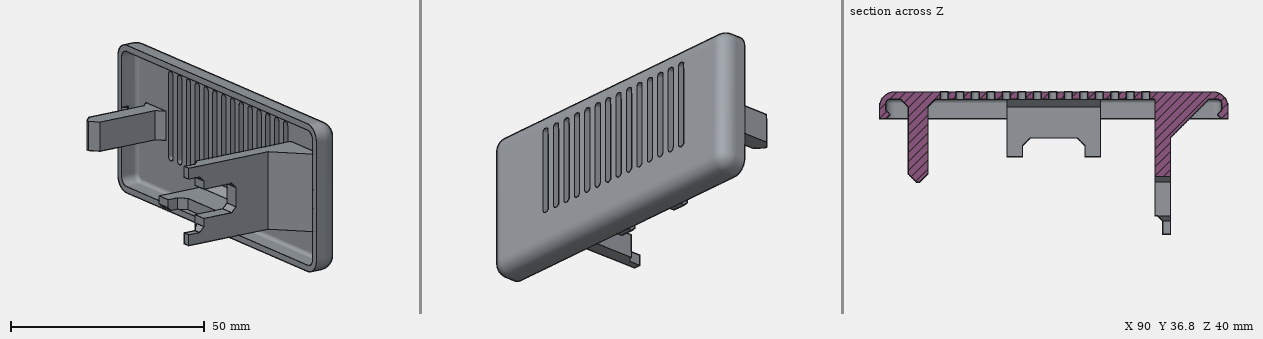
import cadquery as cq

LENGTH = 90.0
HEIGHT = 40.0
TOTAL_DEPTH = 36.8
SHELL_DEPTH = 7.0
OUTER_RADIUS = 4.0
WALL = 1.7
FLOOR = 2.0
COVE_RADIUS = 1.1

SLOT_COUNT = 14
SLOT_WIDTH = 2.0
FIRST_SLOT_X = -28.3
LAST_SLOT_X = 23.8
SLOT_TOP = 15.3
SLOT_BOTTOM = -8.9

RIDGE_HEIGHT = COVE_RADIUS
RIDGE_LENGTH = 5.1

GUSSET = 2.0

POST_X = -35.0
POST_WIDTH = 5.1
POST_HEIGHT = 7.9
POST_TIP = 23.4
POST_CHAMFER = 2.2

SHELF_WIDTH = 24.2
SHELF_TOP = -11.5
SHELF_THICKNESS = 3.1
SHELF_TIP = 16.8
SHELF_TIP_CHAMFER = 0.9
FORK_WIDTH = 16.0
FORK_DEPTH = 4.9
FORK_CHAMFER = 2.0

CLIP_LEFT = 26.1
CLIP_RIGHT = 30.15
CLIP_HEIGHT = 21.0
CLIP_SHOULDER = 32.0
CLIP_GUSSET = 9.9
CLIP_SLOT_BOTTOM = 22.0
CLIP_SLOT_WIDTH = 7.9
CLIP_CHAMFER = 1.35
TIP_THICKNESS = 2.1
TIP_HEIGHT = 3.0


def extrude_along_z(points, bottom, height):
    """Prism from (x, depth) points, with depth measured from the back face towards -Y."""
    outline = [(x, -depth) for x, depth in points]
    return cq.Workplane("XY").workplane(offset=bottom).polyline(outline).close().extrude(height)


def extrude_along_x(points, left, width):
    """Prism from (depth, z) points, with depth measured from the back face towards -Y."""
    outline = [(-depth, z) for depth, z in points]
    return cq.Workplane("YZ").workplane(offset=left).polyline(outline).close().extrude(width)


def block(inset, near, far):
    """Box inset from the shell outline, between two depths from the back face."""
    size_x = LENGTH - 2 * inset
    size_z = HEIGHT - 2 * inset
    return cq.Workplane("XY").box(size_x, far - near, size_z).translate((0, -(near + far) / 2, 0))


def make_shell():
    outer = block(0, 0, SHELL_DEPTH).edges("|Y or >Y").fillet(OUTER_RADIUS)
    cavity = block(WALL, FLOOR, SHELL_DEPTH).edges("|Y").fillet(OUTER_RADIUS - WALL)
    cavity = cavity.faces(">Y").edges().fillet(COVE_RADIUS)
    return outer.cut(cavity)


def make_slots():
    pitch = (LAST_SLOT_X - FIRST_SLOT_X) / (SLOT_COUNT - 1)
    middle_z = (SLOT_TOP + SLOT_BOTTOM) / 2
    centers = [(FIRST_SLOT_X + i * pitch, middle_z) for i in range(SLOT_COUNT)]
    slots = cq.Workplane("XZ").pushPoints(centers).slot2D(SLOT_TOP - SLOT_BOTTOM, SLOT_WIDTH, 90)
    return slots.extrude(FLOOR)


def make_ridge(side):
    """45 degree ridge at the rim of one end wall, rooted half-way into the wall."""
    wall_x = LENGTH / 2 - WALL
    root_x = wall_x + WALL / 2
    middle = SHELL_DEPTH - RIDGE_HEIGHT
    points = [
        (side * root_x, SHELL_DEPTH),
        (side * wall_x, SHELL_DEPTH),
        (side * (wall_x - RIDGE_HEIGHT), middle),
        (side * wall_x, middle - RIDGE_HEIGHT),
        (side * root_x, middle - RIDGE_HEIGHT),
    ]
    return extrude_along_z(points, -RIDGE_LENGTH / 2, RIDGE_LENGTH)


def make_post():
    half = POST_WIDTH / 2
    right_side = [
        (half + GUSSET, FLOOR),
        (half, FLOOR + GUSSET),
        (half, POST_TIP - POST_CHAMFER),
        (half - POST_CHAMFER, POST_TIP),
    ]
    points = [(POST_X + x, depth) for x, depth in right_side]
    points += [(POST_X - x, depth) for x, depth in reversed(right_side)]
    return extrude_along_z(points, -POST_HEIGHT / 2, POST_HEIGHT)


def make_shelf():
    bottom = SHELF_TOP - SHELF_THICKNESS
    section = [
        (FLOOR, SHELF_TOP + GUSSET),
        (FLOOR + GUSSET, SHELF_TOP),
        (SHELF_TIP, SHELF_TOP),
        (SHELF_TIP, bottom + SHELF_TIP_CHAMFER),
        (SHELF_TIP - SHELF_TIP_CHAMFER, bottom),
        (FLOOR + GUSSET, bottom),
        (FLOOR, bottom - GUSSET),
    ]
    shelf = extrude_along_x(section, -SHELF_WIDTH / 2, SHELF_WIDTH)
    half = FORK_WIDTH / 2
    root = SHELF_TIP - FORK_DEPTH
    fork = [
        (-half, SHELF_TIP),
        (-half, root + FORK_CHAMFER),
        (-half + FORK_CHAMFER, root),
        (half - FORK_CHAMFER, root),
        (half, root + FORK_CHAMFER),
        (half, SHELF_TIP),
    ]
    return shelf.cut(extrude_along_z(fork, bottom, SHELF_THICKNESS))


def make_clip():
    half = CLIP_HEIGHT / 2
    width = CLIP_RIGHT - CLIP_LEFT
    tip_left = CLIP_RIGHT - TIP_THICKNESS
    tip_inner = half - TIP_HEIGHT
    chamfer_end = CLIP_SHOULDER + CLIP_CHAMFER

    section = [
        (CLIP_LEFT, FLOOR),
        (CLIP_LEFT, CLIP_SHOULDER),
        (tip_left - CLIP_CHAMFER, CLIP_SHOULDER),
        (tip_left, chamfer_end),
        (tip_left, TOTAL_DEPTH),
        (CLIP_RIGHT, TOTAL_DEPTH),
        (CLIP_RIGHT, FLOOR + CLIP_GUSSET),
        (CLIP_RIGHT + CLIP_GUSSET, FLOOR),
    ]
    clip = extrude_along_z(section, -half, CLIP_HEIGHT)

    slot_half = CLIP_SLOT_WIDTH / 2
    upper_side = [
        (CLIP_SLOT_BOTTOM, slot_half - CLIP_CHAMFER),
        (CLIP_SLOT_BOTTOM + CLIP_CHAMFER, slot_half),
        (CLIP_SHOULDER, slot_half),
        (CLIP_SHOULDER, tip_inner - CLIP_CHAMFER),
        (chamfer_end, tip_inner),
        (TOTAL_DEPTH, tip_inner),
    ]
    gap = upper_side + [(depth, -z) for depth, z in reversed(upper_side)]
    return clip.cut(extrude_along_x(gap, CLIP_LEFT, width))


result = make_shell().cut(make_slots())
for feature in (make_ridge(1), make_ridge(-1), make_post(), make_shelf(), make_clip()):
    result = result.union(feature)